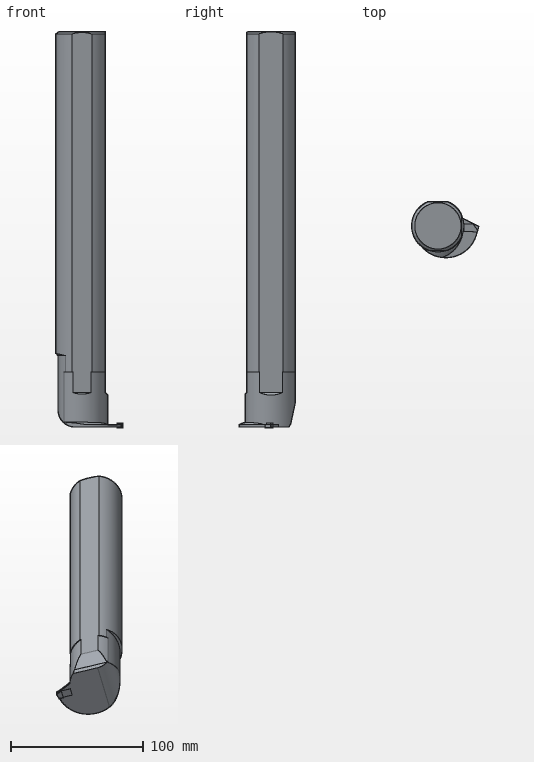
import cadquery as cq

TOTAL_X = 51.0
TOTAL_Y = 42.5

TOP_Z = 300.0
SHANK_RADIUS = 40.0 / 2
SIDE_FLAT = 37.0 / 2
EDGE_FLAT = 17.7
FLAT_END_Z = 26.7
TOP_CHAMFER_RADIAL = 2.5
TOP_CHAMFER_HEIGHT = 1.8

NECK_Z = 42.3
HEAD_RADIUS = SHANK_RADIUS - 0.3
DISC_CENTER_X = 6.0
DISC_RADIUS = TOTAL_Y - SIDE_FLAT
RELIEF_Z = 56.5
RELIEF_DEPTH = SHANK_RADIUS + DISC_CENTER_X - DISC_RADIUS
HEEL_RADIUS = 13.2
HEEL_GAP = 0.05
HEEL_START_X = DISC_CENTER_X - DISC_RADIUS - HEEL_GAP
BACK_RELIEF = [(13.2, 0.0), (15.0, 3.0), (SIDE_FLAT, 19.0)]

DISC_BOTTOM = 0.45
DISC_TOP = 2.5
RAMP_TOP = 4.5
RAMP_TOP_RADIUS = 19.0
RAMP_CENTER = (-4.5, -1.5)
RAMP_RADIUS = 23.7

INSERT_START_X = HEAD_RADIUS
INSERT_BACK_Y = 1.35
INSERT_FRONT_Y = -4.2
NOSE_START_X = 26.7
NOSE_X = TOTAL_X - SHANK_RADIUS
NOSE_Y = -0.3
NOSE_FRONT = (30.0, -4.5)
RIDGE_CORNER = (30.0, -3.3)
RIDGE_TOP = 3.5

REACH = 3 * SHANK_RADIUS


def make_shank():
    """Round bar with a chamfered top and a slightly thinner lower end."""
    bar = (
        cq.Workplane("XZ")
        .moveTo(0, DISC_BOTTOM)
        .lineTo(HEAD_RADIUS, DISC_BOTTOM)
        .lineTo(HEAD_RADIUS, NECK_Z)
        .lineTo(SHANK_RADIUS, NECK_Z)
        .lineTo(SHANK_RADIUS, TOP_Z - TOP_CHAMFER_HEIGHT)
        .lineTo(SHANK_RADIUS - TOP_CHAMFER_RADIAL, TOP_Z)
        .lineTo(0, TOP_Z)
        .close()
        .revolve(360, (0, 0, 0), (0, 1, 0))
    )
    flats = ((0, EDGE_FLAT, FLAT_END_Z), (-90, SIDE_FLAT, FLAT_END_Z), (90, SIDE_FLAT, 0))
    for angle, distance, end_z in flats:
        bar = bar.cut(flat_cutter(distance, end_z).rotate((0, 0, 0), (0, 0, 1), angle))
    return bar


def flat_cutter(distance, end_z):
    """Block that mills a flat facing +X and runs out on a 45 degree ramp."""
    run = REACH - distance
    return (
        cq.Workplane("XZ")
        .polyline([
            (distance, end_z),
            (REACH, end_z - run),
            (REACH, TOP_Z),
            (distance, TOP_Z),
        ])
        .close()
        .extrude(REACH, both=True)
    )


def relief_envelope():
    """Disc-sized cylinder, opening on a 45 degree cone, that bounds the lower end."""
    flare_z = RELIEF_Z - RELIEF_DEPTH
    opening = TOP_Z - flare_z
    return (
        cq.Workplane("XZ", origin=(DISC_CENTER_X, 0, 0))
        .polyline([
            (0, DISC_BOTTOM),
            (DISC_RADIUS, DISC_BOTTOM),
            (DISC_RADIUS, flare_z),
            (DISC_RADIUS + opening, TOP_Z),
            (0, TOP_Z),
        ])
        .close()
        .revolve(360, (0, 0, 0), (0, 1, 0))
    )


def make_blade():
    """Thin plate, trimmed straight behind the cutting nose, with a ramp up to the head."""
    plate = (
        cq.Workplane("XY", origin=(0, 0, DISC_BOTTOM))
        .rect(2 * REACH, 2 * REACH)
        .extrude(DISC_TOP - DISC_BOTTOM)
    )
    ramp = (
        cq.Workplane("XY", origin=(0, 0, DISC_TOP))
        .center(*RAMP_CENTER)
        .circle(RAMP_RADIUS)
        .workplane(offset=RAMP_TOP - DISC_TOP)
        .center(-RAMP_CENTER[0], -RAMP_CENTER[1])
        .circle(RAMP_TOP_RADIUS)
        .loft()
    )
    back_trim = (
        cq.Workplane("XY")
        .polyline([
            (NOSE_X - 2 * REACH, NOSE_Y + REACH),
            (NOSE_X, NOSE_Y),
            (NOSE_X, NOSE_Y + REACH),
        ])
        .close()
        .extrude(RAMP_TOP)
    )
    return plate.union(ramp).cut(back_trim)


def heel_cutter():
    """Removes the corner outside the rounded lower edge on the -X side."""
    return (
        cq.Workplane("XZ")
        .moveTo(HEEL_START_X, DISC_BOTTOM + HEEL_RADIUS)
        .radiusArc((HEEL_START_X + HEEL_RADIUS, DISC_BOTTOM), -HEEL_RADIUS)
        .lineTo(HEEL_START_X + HEEL_RADIUS, 0)
        .lineTo(-REACH, 0)
        .lineTo(-REACH, DISC_BOTTOM + HEEL_RADIUS)
        .close()
        .extrude(REACH, both=True)
    )


def back_cutter():
    """Removes the material behind the sloping faces on the +Y side."""
    foot_z = BACK_RELIEF[0][1]
    peak_y, peak_z = BACK_RELIEF[-1]
    return (
        cq.Workplane("YZ")
        .polyline([*BACK_RELIEF, (peak_y + REACH, peak_z), (peak_y + REACH, foot_z)])
        .close()
        .extrude(REACH, both=True)
    )


def make_insert():
    """Small bar in the blade ending in a pointed nose with a raised cutting ridge."""
    stem = (
        cq.Workplane("XY", origin=(0, 0, DISC_BOTTOM))
        .moveTo(INSERT_START_X, INSERT_FRONT_Y)
        .lineTo(NOSE_START_X, INSERT_FRONT_Y)
        .lineTo(NOSE_START_X, INSERT_BACK_Y)
        .lineTo(INSERT_START_X, INSERT_BACK_Y)
        .close()
        .extrude(DISC_TOP - DISC_BOTTOM)
    )
    nose = (
        cq.Workplane("XY")
        .polyline([
            (NOSE_START_X, NOSE_FRONT[1]),
            NOSE_FRONT,
            (NOSE_X, NOSE_Y),
            (NOSE_START_X, INSERT_BACK_Y),
        ])
        .close()
        .extrude(DISC_TOP)
    )
    ridge = (
        cq.Workplane("XY")
        .polyline([(NOSE_START_X, INSERT_BACK_Y), RIDGE_CORNER, (NOSE_X, NOSE_Y)])
        .close()
        .extrude(RIDGE_TOP)
    )
    return stem.union(nose).union(ridge)


insert = make_insert()

holder = make_shank().union(make_blade()).intersect(relief_envelope())
holder = holder.cut(heel_cutter()).cut(back_cutter()).cut(insert)

result = cq.Compound.makeCompound([holder.val(), insert.val()])